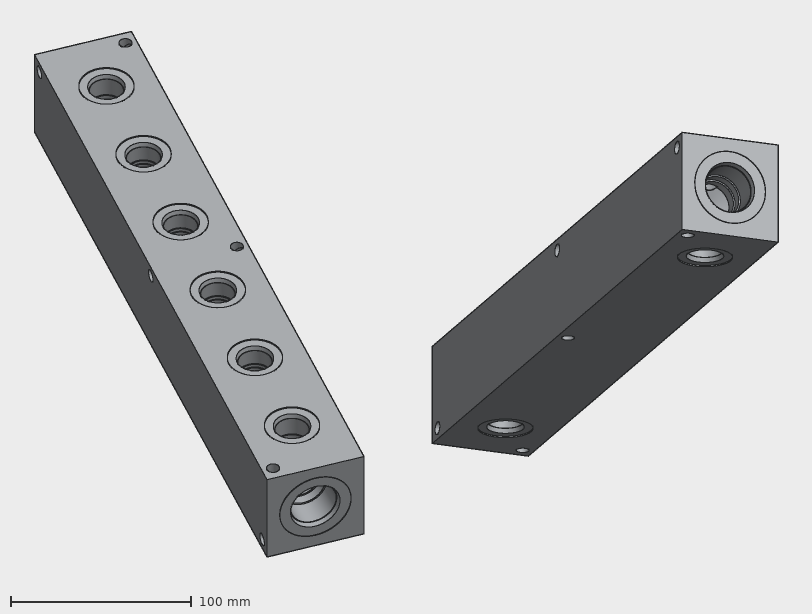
import cadquery as cq
import math

length = 378.0
side = 57.0

mount_diameter = 7.0
mount_end_margin = 8.0
mount_side_margin = 6.5

port_count = 6
port_end_margin = 38.0
drill_point_angle = 118.0

side_spotface_diameter = 30.5
side_mouth_diameter = 20.8
side_relief_diameter = 19.3
side_spotface_depth = 0.8
side_relief_depth = 3.5
inner_bores = [(19.0, 13.0), (17.5, 14.7), (16.0, 17.0)]
outer_bores = [(19.0, 14.7), (17.5, 17.5)]

end_spotface_diameter = 42.0
end_mouth_diameter = 29.0
end_relief_diameter = 27.5
end_spotface_depth = 0.5
end_relief_depth = 3.5
end_bores = [(27.0, 19.0), (25.0, 24.5), (23.0, 31.5)]


def port_cutter(spotface_diameter, spotface_depth, mouth_diameter, relief_diameter, relief_depth, bores):
    """Stepped port with a drill point, opening at the origin and running down -Z."""
    profile = (
        cq.Workplane("XZ")
        .moveTo(0, 0)
        .lineTo(spotface_diameter / 2, 0)
        .lineTo(spotface_diameter / 2, -spotface_depth)
        .lineTo(mouth_diameter / 2, -spotface_depth)
        .lineTo(relief_diameter / 2, -relief_depth)
    )
    bore_top = relief_depth
    for bore_diameter, bore_bottom in bores:
        profile = profile.lineTo(bore_diameter / 2, -bore_top).lineTo(bore_diameter / 2, -bore_bottom)
        bore_top = bore_bottom
    drill_diameter, drill_depth = bores[-1]
    point_depth = drill_diameter / 2 / math.tan(math.radians(drill_point_angle / 2))
    profile = profile.lineTo(0, -drill_depth - point_depth).close()
    return profile.revolve(360, (0, 0, 0), (0, 1, 0))


def side_port(bores):
    """Side port cutter placed on the top face at the middle of the block."""
    cutter = port_cutter(
        side_spotface_diameter,
        side_spotface_depth,
        side_mouth_diameter,
        side_relief_diameter,
        side_relief_depth,
        bores,
    )
    return cutter.translate((0, 0, side / 2))


result = cq.Workplane("XY").box(length, side, side)

first_port_x = port_end_margin - length / 2
port_pitch = (length - 2 * port_end_margin) / (port_count - 1)
inner_port = side_port(inner_bores)
for index in range(1, port_count - 1):
    result = result.cut(inner_port.translate((first_port_x + index * port_pitch, 0, 0)))

outer_port = side_port(outer_bores)
for port_x in (first_port_x, -first_port_x):
    top_port = outer_port.translate((port_x, 0, 0))
    result = result.cut(top_port).cut(top_port.mirror("XY"))

end_port = port_cutter(
    end_spotface_diameter,
    end_spotface_depth,
    end_mouth_diameter,
    end_relief_diameter,
    end_relief_depth,
    end_bores,
)
right_port = end_port.rotate((0, 0, 0), (0, 1, 0), 90).translate((length / 2, 0, 0))
result = result.cut(right_port).cut(right_port.mirror("YZ"))

mount_x = length / 2 - mount_end_margin
mount_offset = side / 2 - mount_side_margin
mount_points = [(-mount_x, mount_offset), (0, mount_offset), (mount_x, -mount_offset)]
for plane in ("XY", "XZ"):
    mount_holes = (
        cq.Workplane(plane)
        .pushPoints(mount_points)
        .circle(mount_diameter / 2)
        .extrude(side, both=True)
    )
    result = result.cut(mount_holes)